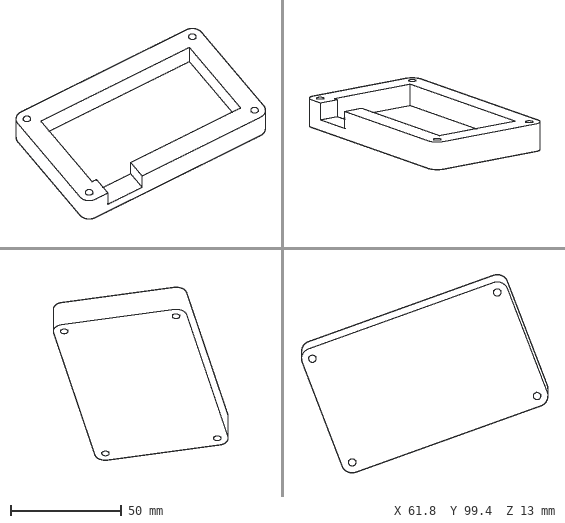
import cadquery as cq

width = 61.8
length = 99.4
height = 13.0
corner_radius = 5

wall = 9.5
floor_thickness = 3
pocket_width = width - 2 * wall
pocket_length = length - 2 * wall

notch_depth = 7.9
notch_length = 18.5
notch_center_y = -28.5

hole_diameter = 3.4
hole_spacing_x = width - 2 * corner_radius
hole_spacing_y = length - 2 * corner_radius


def make_block():
    block = cq.Workplane("XY").box(width, length, height, centered=(True, True, False))
    return block.edges("|Z").fillet(corner_radius)


def make_pocket():
    return (
        cq.Workplane("XY")
        .workplane(offset=floor_thickness)
        .rect(pocket_width, pocket_length)
        .extrude(height - floor_thickness)
    )


def make_notch():
    return (
        cq.Workplane("XY")
        .workplane(offset=height - notch_depth)
        .center((width - wall) / 2, notch_center_y)
        .rect(wall, notch_length)
        .extrude(notch_depth)
    )


def make_screw_holes():
    return (
        cq.Workplane("XY")
        .rect(hole_spacing_x, hole_spacing_y, forConstruction=True)
        .vertices()
        .circle(hole_diameter / 2)
        .extrude(height)
    )


result = make_block().cut(make_pocket()).cut(make_notch()).cut(make_screw_holes())